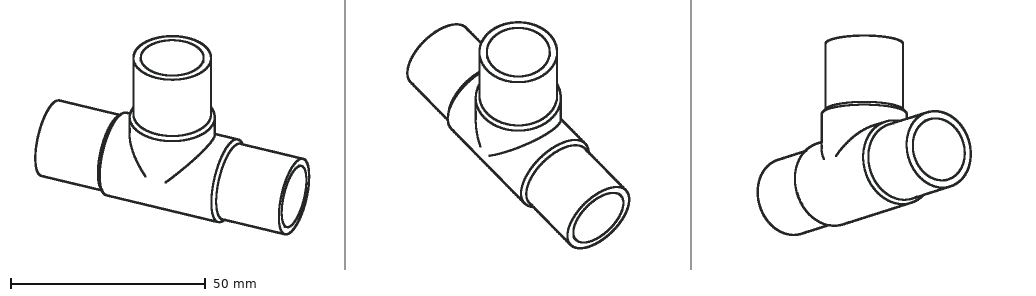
import cadquery as cq

arm_length = 34.0
body_reach = 16.5
body_radius = 21.9 / 2
pipe_radius = 20.0 / 2
bore_radius = 16.2 / 2
chamfer = body_radius - pipe_radius


def arm_solid(direction):
    """Thick body length, 45 degree shoulder and pipe end, along one direction from the centre."""
    plane = cq.Plane(origin=(0, 0, 0), xDir=(0, 1, 0), normal=direction)
    body = cq.Workplane(plane).circle(body_radius).extrude(body_reach)
    body = body.faces(cq.DirectionMinMaxSelector(cq.Vector(direction), True)).chamfer(chamfer)
    pipe = cq.Workplane(plane).circle(pipe_radius).extrude(arm_length)
    return body.union(pipe)


def arm_bore(direction):
    """Straight bore from the centre to the open end of one arm."""
    plane = cq.Plane(origin=(0, 0, 0), xDir=(0, 1, 0), normal=direction)
    return cq.Workplane(plane).circle(bore_radius).extrude(arm_length)


left, right, up = (-1, 0, 0), (1, 0, 0), (0, 0, 1)

outside = arm_solid(left).union(arm_solid(right)).union(arm_solid(up))
passages = arm_bore(left).union(arm_bore(right)).union(arm_bore(up))
result = outside.cut(passages).clean()